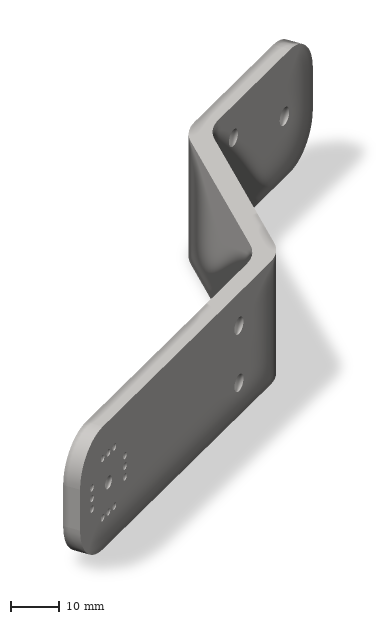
import cadquery as cq
import math

length = 170.0
width = 30.0
thickness = 4.0
corner_radius = 10.0

overall_depth = 40.1
bend_angle = 45.0
bend_radius = 10.0
web_thickness = 5.0
front_leg_length = 85.0

end_inset = 12.5
rear_hole_diameter = 4.2
mount_hole_diameter = 4.0
mount_hole_spacing = 14.0
rear_mount_inset = 35.0
front_mount_inset = 70.0
center_hole_diameter = 3.0
small_hole_diameter = 1.6
small_hole_pitch = 2.6
small_row_offset = 7.25

slope_angle = math.radians(bend_angle)
leg_offset = overall_depth - thickness
lower_corner_y = front_leg_length
upper_corner_y = lower_corner_y + leg_offset / math.tan(slope_angle)
corner_shift = web_thickness / math.sin(slope_angle) - thickness / math.tan(slope_angle)


def bent_strip():
    """Z-shaped profile extruded along Z, with every bend corner rounded."""
    web_back = [
        (overall_depth, lower_corner_y + corner_shift),
        (thickness, upper_corner_y + corner_shift),
    ]
    web_front = [(0, upper_corner_y), (leg_offset, lower_corner_y)]
    front_end = [(leg_offset, 0), (overall_depth, 0)]
    rear_end = [(thickness, length), (0, length)]
    profile = front_end + web_back + rear_end + web_front
    strip = cq.Workplane("XY").polyline(profile).close().extrude(width / 2, both=True)
    for x, y in web_back + web_front:
        nearest_edge = cq.selectors.NearestToPointSelector((x, y, 0))
        strip = strip.edges("|Z").edges(nearest_edge).fillet(bend_radius)
    return strip


def rounded_outline():
    """Block along X whose rounded rectangle trims the strip ends."""
    return (
        cq.Workplane("XY")
        .box(overall_depth, length, width)
        .edges("|X")
        .fillet(corner_radius)
        .translate((overall_depth / 2, length / 2, 0))
    )


def holes(diameter, points):
    """Cylinders along X, spanning the whole depth, at the given (Y, Z) points."""
    return cq.Workplane("YZ").pushPoints(points).circle(diameter / 2).extrude(overall_depth)


def mount_points():
    half_spacing = mount_hole_spacing / 2
    rows = (front_mount_inset, length - rear_mount_inset)
    return [(y, z) for y in rows for z in (-half_spacing, half_spacing)]


def small_hole_points():
    """Four rows of three holes, one on each side of the center hole."""
    points = []
    for side in (-small_row_offset, small_row_offset):
        for step in (-small_hole_pitch, 0, small_hole_pitch):
            points.append((end_inset + side, step))
            points.append((end_inset + step, side))
    return points


result = (
    bent_strip()
    .intersect(rounded_outline())
    .cut(holes(rear_hole_diameter, [(length - end_inset, 0)]))
    .cut(holes(mount_hole_diameter, mount_points()))
    .cut(holes(center_hole_diameter, [(end_inset, 0)]))
    .cut(holes(small_hole_diameter, small_hole_points()))
)